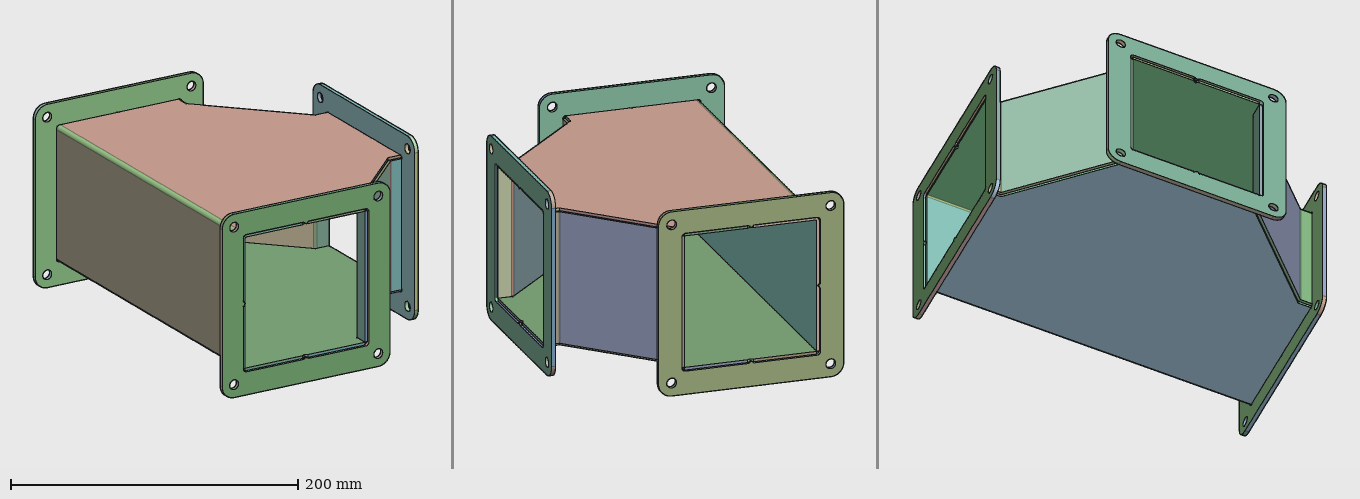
import cadquery as cq
import math

run_length = 254.0
branch_reach = 126.7
flange_size = 136.7
flange_thickness = 3.0
flange_corner_radius = 9.7
opening_size = 102.0
opening_clearance = 0.3
duct_size = opening_size - 2 * opening_clearance
sheet_thickness = 2.0
seat_depth = 1.5
straight_length = 12.0
bolt_pitch = 117.3
bolt_diameter = 7.0
opening_corner_radius = 2.5
tooth_depth = 1.5
tooth_width = 4.0
notch_depth = 1.3
notch_width = 4.5
bend_radius = 1.0

outer_half = duct_size / 2
inner_half = outer_half - sheet_thickness
sheet_inset = flange_thickness - seat_depth
run_end = run_length / 2 - sheet_inset
branch_end = branch_reach - sheet_inset
run_bend_x = run_length / 2 - straight_length
branch_bend_y = branch_reach - straight_length
bend_shift = sheet_thickness * math.tan(math.pi / 8)
outer_bend_radius = bend_radius + sheet_thickness


def make_tooth(plane):
    """Pointed tooth on the local +X side of a flange opening, in front of the sheet ends."""
    root = opening_size / 2
    profile = [
        (root, -tooth_width / 2),
        (root - tooth_depth, 0),
        (root, tooth_width / 2),
    ]
    return (
        cq.Workplane(plane)
        .workplane(offset=seat_depth)
        .polyline(profile)
        .close()
        .extrude(sheet_inset)
    )


def make_flange(plane, tooth_angles):
    """Square flange; local X is horizontal, local Y is vertical, thickness along the normal."""
    plate = (
        cq.Workplane(plane)
        .rect(flange_size, flange_size)
        .extrude(flange_thickness)
        .edges(cq.selectors.ParallelDirSelector(plane.zDir))
        .fillet(flange_corner_radius)
    )
    opening = (
        cq.Workplane(plane)
        .rect(opening_size, opening_size)
        .extrude(flange_thickness)
        .edges(cq.selectors.ParallelDirSelector(plane.zDir))
        .fillet(opening_corner_radius)
    )
    bolt_holes = (
        cq.Workplane(plane)
        .rect(bolt_pitch, bolt_pitch, forConstruction=True)
        .vertices()
        .circle(bolt_diameter / 2)
        .extrude(flange_thickness)
    )
    flange = plate.cut(opening).cut(bolt_holes)
    for angle in tooth_angles:
        flange = flange.union(make_tooth(plane.rotated((0, 0, angle))))
    return flange


def make_plate_outline():
    """Flat tee outline of the top and bottom sheets, inside the cheeks and the front wall."""
    left_half = [
        (-run_end, -inner_half),
        (-run_end, -notch_width / 2),
        (-run_end + notch_depth, 0),
        (-run_end, notch_width / 2),
        (-run_end, inner_half),
        (-run_bend_x + bend_shift, inner_half),
        (-inner_half, branch_bend_y - bend_shift),
        (-inner_half, branch_end),
        (-notch_width / 2, branch_end),
    ]
    branch_notch_tip = (0, branch_end - notch_depth)
    right_half = [(-x, y) for x, y in reversed(left_half)]
    return left_half + [branch_notch_tip] + right_half


def make_bottom_plate():
    return (
        cq.Workplane("XY", origin=(0, 0, -outer_half))
        .polyline(make_plate_outline())
        .close()
        .extrude(sheet_thickness)
    )


def make_top_and_front():
    """Top sheet bent down along its front edge into the front wall."""
    top = (
        cq.Workplane("XY", origin=(0, 0, inner_half))
        .polyline(make_plate_outline())
        .close()
        .extrude(sheet_thickness)
    )
    front = cq.Workplane("XY").box(
        2 * run_end, sheet_thickness, outer_half + inner_half, centered=(True, False, False)
    ).translate((0, -outer_half, -inner_half))
    return (
        top.union(front)
        .edges(cq.selectors.NearestToPointSelector((0, -outer_half, outer_half)))
        .fillet(outer_bend_radius)
        .edges(cq.selectors.NearestToPointSelector((0, -inner_half, inner_half)))
        .fillet(bend_radius)
    )


def make_cheek(side):
    """Side sheet with two 45 degree bends, joining a run flange to the branch flange."""
    outline = [
        (-run_end, outer_half),
        (-run_bend_x, outer_half),
        (-outer_half, branch_bend_y),
        (-outer_half, branch_end),
        (-inner_half, branch_end),
        (-inner_half, branch_bend_y - bend_shift),
        (-run_bend_x + bend_shift, inner_half),
        (-run_end, inner_half),
    ]
    outer_bends = outline[1:3]
    inner_bends = outline[5:7]
    cheek = (
        cq.Workplane("XY", origin=(0, 0, -inner_half))
        .polyline(outline)
        .close()
        .extrude(2 * inner_half)
    )
    for corners, radius in ((outer_bends, bend_radius), (inner_bends, outer_bend_radius)):
        for x, y in corners:
            edge = cq.selectors.NearestToPointSelector((x, y, 0))
            cheek = cheek.edges(edge).fillet(radius)
    if side > 0:
        cheek = cheek.mirror("YZ")
    return cheek


run_flange_x = run_length / 2 - flange_thickness
branch_flange_y = branch_reach - flange_thickness
left_plane = cq.Plane((-run_flange_x, 0, 0), (0, -1, 0), (-1, 0, 0))
right_plane = cq.Plane((run_flange_x, 0, 0), (0, 1, 0), (1, 0, 0))
branch_plane = cq.Plane((0, branch_flange_y, 0), (-1, 0, 0), (0, 1, 0))

flanges = [
    make_flange(left_plane, (0, 90, 270)),
    make_flange(right_plane, (90, 180, 270)),
    make_flange(branch_plane, (90, 270)),
]
cheeks = [make_cheek(side) for side in (-1, 1)]
bottom_plate = make_bottom_plate()
top_and_front = make_top_and_front()

result = cq.Compound.makeCompound(
    [bottom_plate.val(), top_and_front.val()]
    + [cheek.val() for cheek in cheeks]
    + [flange.val() for flange in flanges]
)